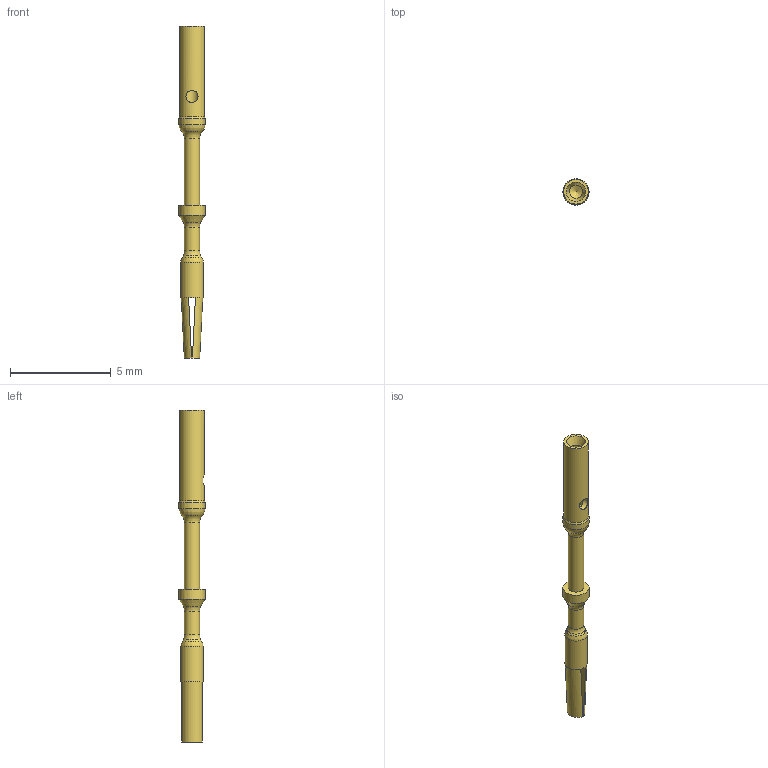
import cadquery as cq
import math

TOTAL_LENGTH = 16.5

COLLAR_RADIUS = 0.65
BARREL_RADIUS = 0.61
NECK_RADIUS = 0.375
SLEEVE_RADIUS = 0.56

ROUND_RADIUS = 0.5
CONE_ANGLE = math.radians(30)

BARREL_LENGTH = 4.5
COLLAR_CHAMFER_HEIGHT = 0.1
COLLAR_HEIGHT = 0.3

FLANGE_TOP = TOTAL_LENGTH - 8.9
FLANGE_HEIGHT = 0.5

TINE_LENGTH = 3.0
SLEEVE_LENGTH = 1.75

TINE_RADIUS = 0.535
SLOT_WIDTH = 0.34
TINE_LEAN = 0.15

BORE_MOUTH_RADIUS = 0.48
BORE_RADIUS = 0.325
LEAD_IN_DEPTH = 0.45
BORE_DEPTH = 4.0
BORE_POINT_ANGLE = 118.0
INSPECTION_HOLE_RADIUS = 0.3
INSPECTION_HOLE_DEPTH = 3.5


def arc_sag(angle):
    """Radial change along a round that turns away from the axis direction by the angle."""
    return ROUND_RADIUS * (1 - math.cos(angle))


def arc_rise(angle):
    """Axial length of a round that turns away from the axis direction by the angle."""
    return ROUND_RADIUS * math.sin(angle)


def turned_body():
    """Solid of revolution from the barrel mouth down to the root of the tines."""
    barrel_bottom = TOTAL_LENGTH - BARREL_LENGTH
    collar_top = barrel_bottom - COLLAR_CHAMFER_HEIGHT
    collar_bottom = collar_top - COLLAR_HEIGHT

    collar_step = COLLAR_RADIUS - NECK_RADIUS
    collar_angle = math.acos(1 - collar_step / (2 * ROUND_RADIUS))
    collar_round_end = (
        COLLAR_RADIUS - arc_sag(collar_angle),
        collar_bottom - arc_rise(collar_angle),
    )
    upper_neck_top = collar_bottom - 2 * arc_rise(collar_angle)

    flange_bottom = FLANGE_TOP - FLANGE_HEIGHT
    cone_end_radius = NECK_RADIUS + arc_sag(CONE_ANGLE)
    flange_cone_end = flange_bottom - (COLLAR_RADIUS - cone_end_radius) / math.tan(CONE_ANGLE)
    lower_neck_top = flange_cone_end - arc_rise(CONE_ANGLE)

    sleeve_top = TINE_LENGTH + SLEEVE_LENGTH
    shoulder_radius = SLEEVE_RADIUS - arc_sag(CONE_ANGLE)
    shoulder = sleeve_top + arc_rise(CONE_ANGLE)
    sleeve_cone_top = shoulder + (shoulder_radius - cone_end_radius) / math.tan(CONE_ANGLE)
    lower_neck_bottom = sleeve_cone_top + arc_rise(CONE_ANGLE)

    return (
        cq.Workplane("XZ")
        .moveTo(0, TOTAL_LENGTH)
        .lineTo(BARREL_RADIUS, TOTAL_LENGTH)
        .lineTo(BARREL_RADIUS, barrel_bottom)
        .lineTo(COLLAR_RADIUS, collar_top)
        .lineTo(COLLAR_RADIUS, collar_bottom)
        .radiusArc(collar_round_end, ROUND_RADIUS)
        .radiusArc((NECK_RADIUS, upper_neck_top), -ROUND_RADIUS)
        .lineTo(NECK_RADIUS, FLANGE_TOP)
        .lineTo(COLLAR_RADIUS, FLANGE_TOP)
        .lineTo(COLLAR_RADIUS, flange_bottom)
        .lineTo(cone_end_radius, flange_cone_end)
        .radiusArc((NECK_RADIUS, lower_neck_top), -ROUND_RADIUS)
        .lineTo(NECK_RADIUS, lower_neck_bottom)
        .radiusArc((cone_end_radius, sleeve_cone_top), -ROUND_RADIUS)
        .lineTo(shoulder_radius, shoulder)
        .radiusArc((SLEEVE_RADIUS, sleeve_top), ROUND_RADIUS)
        .lineTo(SLEEVE_RADIUS, TINE_LENGTH)
        .lineTo(0, TINE_LENGTH)
        .close()
        .revolve(360, (0, 0, 0), (0, 1, 0))
    )


def tine(side):
    """Leaning tine on the +X (side=1) or -X (side=-1) half, a disc segment in section."""
    half_slot = SLOT_WIDTH / 2
    half_chord = math.sqrt(TINE_RADIUS**2 - half_slot**2)
    path = cq.Workplane("XZ").moveTo(0, TINE_LENGTH).lineTo(-side * TINE_LEAN, 0)
    return (
        cq.Workplane("XY", origin=(0, 0, TINE_LENGTH))
        .moveTo(side * half_slot, -half_chord)
        .threePointArc((side * TINE_RADIUS, 0), (side * half_slot, half_chord))
        .close()
        .sweep(path)
    )


def wire_bore():
    """Blind bore with a tapered lead-in at the barrel mouth and a drill point at its end."""
    bore_end = TOTAL_LENGTH - BORE_DEPTH
    point_depth = BORE_RADIUS / math.tan(math.radians(BORE_POINT_ANGLE / 2))
    return (
        cq.Workplane("XZ")
        .moveTo(0, TOTAL_LENGTH)
        .lineTo(BORE_MOUTH_RADIUS, TOTAL_LENGTH)
        .lineTo(BORE_RADIUS, TOTAL_LENGTH - LEAD_IN_DEPTH)
        .lineTo(BORE_RADIUS, bore_end)
        .lineTo(0, bore_end - point_depth)
        .close()
        .revolve(360, (0, 0, 0), (0, 1, 0))
    )


def inspection_hole():
    """Radial hole through the -Y wall of the barrel into the bore."""
    return (
        cq.Workplane("XZ", origin=(0, 0, TOTAL_LENGTH - INSPECTION_HOLE_DEPTH))
        .circle(INSPECTION_HOLE_RADIUS)
        .extrude(COLLAR_RADIUS)
    )


result = turned_body()
for side in (-1, 1):
    result = result.union(tine(side))
result = result.cut(wire_bore()).cut(inspection_hole())